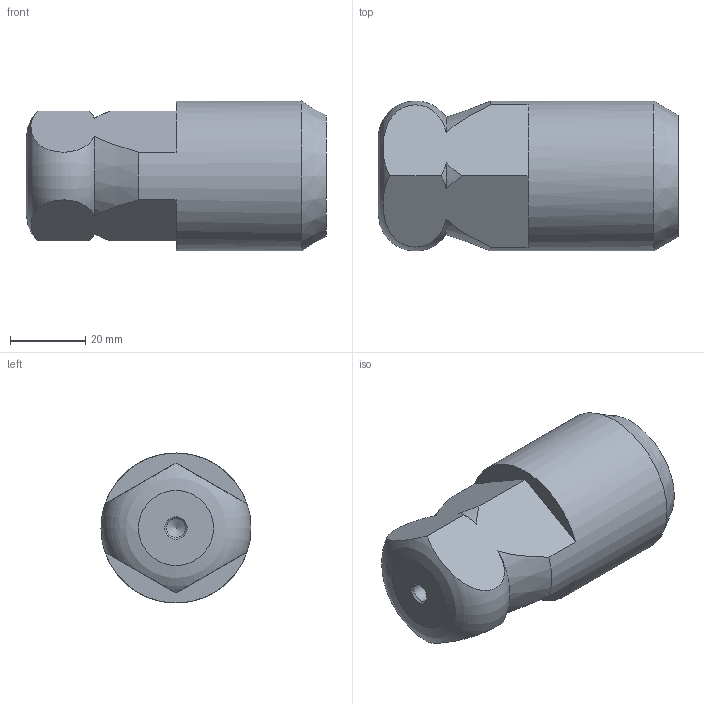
import cadquery as cq
import math

length = 80.0
body_radius = 20.0

bead_radius = 10.0
bead_center_x = bead_radius
bead_center_r = body_radius - bead_radius

neck_end_x = 30.0
neck_slope = math.tan(math.radians(20.0))

chamfer_length = 6.5
chamfer_height = chamfer_length * math.tan(math.radians(30.0))

across_flats = 30.0
flats_end_x = 40.0
flat_normal_angles = (60.0, 120.0, 240.0, 300.0)

hole_radius = 2.5
hole_depth = 15.0
hole_chamfer = 0.5
drill_half_angle = 59.0


def neck_point():
    """Point (x, r) where the neck cone meets the bead."""
    offset = body_radius - neck_slope * (neck_end_x - bead_center_x) - bead_center_r
    a = 1.0 + neck_slope**2
    b = 2.0 * neck_slope * offset
    c = offset**2 - bead_radius**2
    u = (-b + math.sqrt(b**2 - 4.0 * a * c)) / (2.0 * a)
    return bead_center_x + u, bead_center_r + neck_slope * u + offset


def revolve_about_x(profile):
    return profile.close().revolve(360.0, (0, 0, 0), (1, 0, 0))


def make_body():
    neck_x, neck_r = neck_point()
    neck_angle = math.atan2(neck_r - bead_center_r, neck_x - bead_center_x)
    mid_angle = (math.pi + neck_angle) / 2.0
    arc_mid = (
        bead_center_x + bead_radius * math.cos(mid_angle),
        bead_center_r + bead_radius * math.sin(mid_angle),
    )
    profile = (
        cq.Workplane("XY")
        .lineTo(0, bead_center_r)
        .threePointArc(arc_mid, (neck_x, neck_r))
        .lineTo(neck_end_x, body_radius)
        .lineTo(length - chamfer_length, body_radius)
        .lineTo(length, body_radius - chamfer_height)
        .lineTo(length, 0)
    )
    return revolve_about_x(profile)


def make_flat_cutter(normal_angle):
    """Block removing everything beyond one flat; the angle is measured about X from +Y."""
    block = cq.Workplane("XY").box(flats_end_x, body_radius, 2.0 * body_radius, centered=(False, False, True))
    block = block.translate((0, across_flats / 2.0, 0))
    return block.rotate((0, 0, 0), (1, 0, 0), normal_angle)


def make_center_hole():
    point_length = hole_radius / math.tan(math.radians(drill_half_angle))
    profile = (
        cq.Workplane("XY")
        .lineTo(0, hole_radius + hole_chamfer)
        .lineTo(hole_chamfer, hole_radius)
        .lineTo(hole_depth, hole_radius)
        .lineTo(hole_depth + point_length, 0)
    )
    return revolve_about_x(profile)


result = make_body()
for angle in flat_normal_angles:
    result = result.cut(make_flat_cutter(angle))
result = result.cut(make_center_hole())